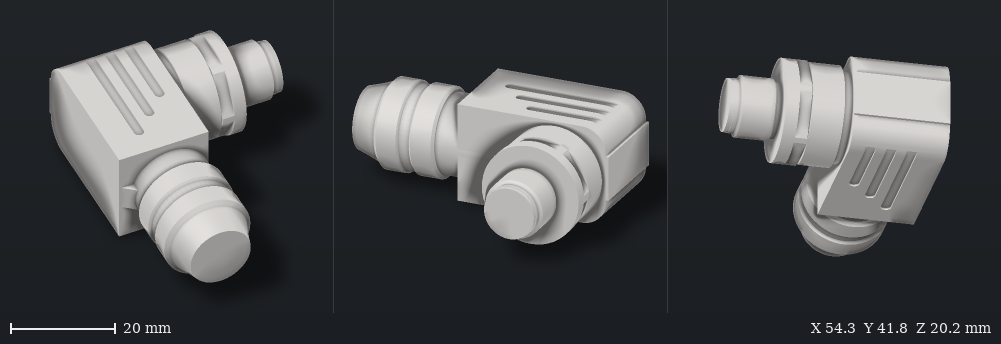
import cadquery as cq
import math


BODY_LEFT = -10.5
BODY_RIGHT = 21.0
BODY_BACK = 8.05
BODY_FRONT = -10.75
BODY_HALF_HEIGHT = 10.0
CORNER_RADIUS = 5.0
PAD_HEIGHT = 0.6
PAD_HALF_WIDTH = 4.5

SLOT_WIDTH = 2.0
SLOT_DEPTH = 0.44
SLOT_PITCH = 4.0
SLOT_START = -7.0
SHORTEST_SLOT_END = 8.4
SLOT_COUNT = 3

PLUG_NECK_RADIUS = 9.1
PLUG_NECK_END = 9.7
SLEEVE_RADIUS = 9.85
SLEEVE_END = 15.95
GAP_RADIUS = 8.9
GAP_END = 16.12
NUT_RADIUS = 10.1
NUT_ACROSS_FLATS = 18.05
FLATS_END = 18.55
NUT_END = 21.1
UNDERCUT_RADIUS = 5.5
THREAD_START = 21.95
THREAD_RADIUS = 6.0
THREAD_LOWER_CHAMFER = 0.4
THREAD_END = 29.1
THREAD_UPPER_CHAMFER = 0.5
COLLAR_RADIUS = 5.3
COLLAR_END = 30.1
TIP_RADIUS = 5.2
PLUG_END = 31.05

GLAND_NECK_RADIUS = 8.08
GLAND_NECK_END = 25.75
RING_RADIUS = 9.05
RING_GROOVE_RADIUS = 8.5
RING_CHAMFER = 0.5
FIRST_RING_END = 31.05
SECOND_RING_START = 33.15
SECOND_RING_CHAMFER = 0.4
SECOND_RING_FULL_END = 37.7
TAPER_START = 38.6
TAPER_START_RADIUS = 8.1
GLAND_END = 43.8
GLAND_END_RADIUS = 6.3
TAPER_SAG = 0.1

RIB_WIDTH = 5.0
RIB_FOOT_Y = -10.2
RIB_SLOPE = 1.25
RIB_TIP_Y = -6.0


def make_body():
    pad_bottom = BODY_LEFT + PAD_HEIGHT
    block = (
        cq.Workplane("XY")
        .box(
            BODY_RIGHT - pad_bottom,
            BODY_BACK - BODY_FRONT,
            2 * BODY_HALF_HEIGHT,
            centered=(False, False, True),
        )
        .translate((pad_bottom, BODY_FRONT, 0))
        .edges("<X and |Y")
        .fillet(CORNER_RADIUS)
    )
    pad = (
        cq.Workplane("XY")
        .box(
            CORNER_RADIUS,
            BODY_BACK - BODY_FRONT,
            2 * PAD_HALF_WIDTH,
            centered=(False, False, True),
        )
        .translate((BODY_LEFT, BODY_FRONT, 0))
    )
    return block.union(pad)


def make_slot(center_y, end_x, floor_z):
    """Cutter for one grip slot: square at SLOT_START, rounded at end_x."""
    half = SLOT_WIDTH / 2
    return (
        cq.Workplane("XY", origin=(0, center_y, floor_z))
        .moveTo(SLOT_START, -half)
        .lineTo(end_x - half, -half)
        .threePointArc((end_x, 0), (end_x - half, half))
        .lineTo(SLOT_START, half)
        .close()
        .extrude(SLOT_DEPTH)
    )


def cut_slots(body):
    for i in range(SLOT_COUNT):
        center_y = SLOT_PITCH * (1 - i)
        end_x = SHORTEST_SLOT_END + SLOT_PITCH * i
        for floor_z in (BODY_HALF_HEIGHT - SLOT_DEPTH, -BODY_HALF_HEIGHT):
            body = body.cut(make_slot(center_y, end_x, floor_z))
    return body


def make_hex_flats():
    """Six-sided collar with rounded corners and flats facing +Z and -Z."""
    start = -GAP_END
    length = FLATS_END - GAP_END
    corner_diameter = NUT_ACROSS_FLATS / math.cos(math.pi / 6)
    hexagon = (
        cq.Workplane("XZ")
        .workplane(offset=start)
        .polygon(6, corner_diameter)
        .extrude(-length)
    )
    round_limit = (
        cq.Workplane("XZ")
        .workplane(offset=start)
        .circle(NUT_RADIUS)
        .extrude(-length)
    )
    return hexagon.intersect(round_limit)


def make_plug():
    turned = (
        cq.Workplane("XY")
        .moveTo(0, 0)
        .lineTo(PLUG_NECK_RADIUS, 0)
        .lineTo(PLUG_NECK_RADIUS, PLUG_NECK_END)
        .lineTo(SLEEVE_RADIUS, PLUG_NECK_END)
        .lineTo(SLEEVE_RADIUS, SLEEVE_END)
        .lineTo(GAP_RADIUS, SLEEVE_END)
        .lineTo(GAP_RADIUS, FLATS_END)
        .lineTo(NUT_RADIUS, FLATS_END)
        .lineTo(NUT_RADIUS, NUT_END)
        .lineTo(UNDERCUT_RADIUS, NUT_END)
        .lineTo(UNDERCUT_RADIUS, THREAD_START)
        .lineTo(THREAD_RADIUS, THREAD_START + THREAD_LOWER_CHAMFER)
        .lineTo(THREAD_RADIUS, THREAD_END - THREAD_UPPER_CHAMFER)
        .lineTo(COLLAR_RADIUS, THREAD_END)
        .lineTo(COLLAR_RADIUS, COLLAR_END)
        .lineTo(TIP_RADIUS, COLLAR_END)
        .lineTo(TIP_RADIUS, PLUG_END)
        .lineTo(0, PLUG_END)
        .close()
        .revolve(360, (0, 0, 0), (0, 1, 0))
    )
    return turned.union(make_hex_flats())


def make_gland():
    taper_middle = (
        (TAPER_START + GLAND_END) / 2,
        (TAPER_START_RADIUS + GLAND_END_RADIUS) / 2 - TAPER_SAG,
    )
    return (
        cq.Workplane("XY")
        .moveTo(0, 0)
        .lineTo(0, GLAND_NECK_RADIUS)
        .lineTo(GLAND_NECK_END, GLAND_NECK_RADIUS)
        .lineTo(GLAND_NECK_END, RING_GROOVE_RADIUS)
        .lineTo(GLAND_NECK_END + RING_CHAMFER, RING_RADIUS)
        .lineTo(FIRST_RING_END - RING_CHAMFER, RING_RADIUS)
        .lineTo(FIRST_RING_END, RING_GROOVE_RADIUS)
        .lineTo(SECOND_RING_START, RING_GROOVE_RADIUS)
        .lineTo(SECOND_RING_START + SECOND_RING_CHAMFER, RING_RADIUS)
        .lineTo(SECOND_RING_FULL_END, RING_RADIUS)
        .lineTo(TAPER_START, TAPER_START_RADIUS)
        .threePointArc(taper_middle, (GLAND_END, GLAND_END_RADIUS))
        .lineTo(GLAND_END, 0)
        .close()
        .revolve(360, (0, 0, 0), (1, 0, 0))
    )


def make_rib():
    tip_x = BODY_RIGHT + (RIB_TIP_Y - RIB_FOOT_Y) / RIB_SLOPE
    return (
        cq.Workplane("XY")
        .moveTo(BODY_RIGHT, RIB_FOOT_Y)
        .lineTo(tip_x, RIB_TIP_Y)
        .lineTo(BODY_RIGHT, RIB_TIP_Y)
        .close()
        .extrude(RIB_WIDTH / 2, both=True)
    )


housing = make_body().union(make_plug()).union(make_gland()).union(make_rib())
result = cut_slots(housing)